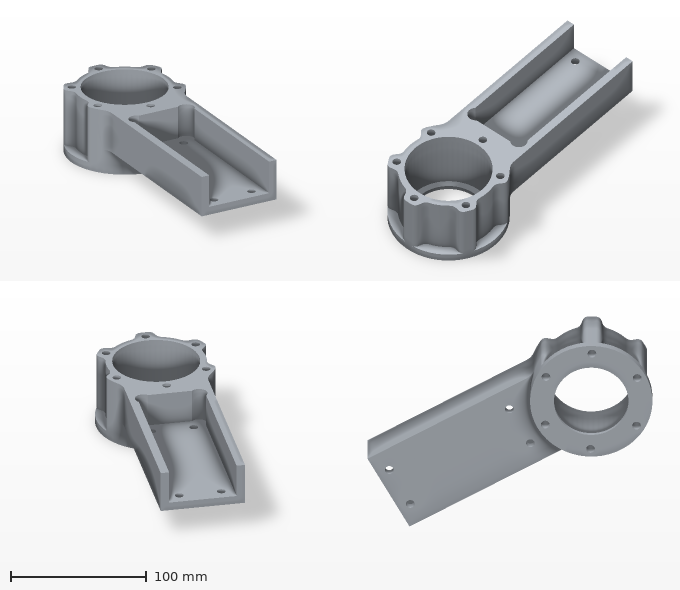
import math

import cadquery as cq

hub_radius = 45.2
hub_height = 50.8
arm_end_x = 171.45
arm_width = 63.5
arm_height = 31.75
arm_bottom_z = hub_height - arm_height
neck_fillet = 12.7

bore_radius = 32.5
lip_radius = 27.5
lip_height = 3.175

hole_diameter = 6.35
hub_hole_count = 6
hub_hole_circle_radius = 38.9

flange_height = 6.35
pocket_angles = (90, 150, 210, 270)
pocket_wall = 5.0
pocket_floor_radius = bore_radius + pocket_wall
flank_angle = math.radians(40.0)
flank_offset = 20.9
lug_round = 4.2
pocket_fillet = 5.8
cutter_margin = 5.0

channel_start_x = 50.8
wall_thickness = 6.35
floor_thickness = 6.35
channel_half_width = arm_width / 2 - wall_thickness
channel_floor_z = arm_bottom_z + floor_thickness
corner_relief_radius = 6.35

floor_hole_inset = 9.525
floor_hole_spacing_y = 31.75


def polar(radius, angle):
    """Point at a radius and an angle in radians."""
    return (radius * math.cos(angle), radius * math.sin(angle))


def mirrored(point):
    """Point reflected across the X axis."""
    return (point[0], -point[1])


def cylinder(radius, bottom_z, top_z):
    """Cylinder on the hub axis."""
    return cq.Workplane("XY").workplane(offset=bottom_z).circle(radius).extrude(top_z - bottom_z)


def make_arm():
    """Solid arm with concave necks that run tangent into the hub."""
    half_width = arm_width / 2
    neck_center_y = half_width + neck_fillet
    neck_center_distance = hub_radius + neck_fillet
    neck_angle = math.asin(neck_center_y / neck_center_distance)
    neck_center_x = neck_center_distance * math.cos(neck_angle)

    hub_tangent = polar(hub_radius, neck_angle)
    arm_tangent = (neck_center_x, half_width)
    toward_hub = neck_angle + math.pi
    toward_arm_side = 3 * math.pi / 2
    middle_angle = (toward_hub + toward_arm_side) / 2
    middle_offset = polar(neck_fillet, middle_angle)
    neck_middle = (neck_center_x + middle_offset[0], neck_center_y + middle_offset[1])

    return (
        cq.Workplane("XY")
        .workplane(offset=arm_bottom_z)
        .moveTo(0, 0)
        .lineTo(*hub_tangent)
        .threePointArc(neck_middle, arm_tangent)
        .lineTo(arm_end_x, half_width)
        .lineTo(arm_end_x, -half_width)
        .lineTo(*mirrored(arm_tangent))
        .threePointArc(mirrored(neck_middle), mirrored(hub_tangent))
        .close()
        .extrude(arm_height)
    )


def make_pocket():
    """Cutter for one pocket, centered on the +X direction.

    Each side is a rounded lug corner tangent to the hub, a straight flank,
    and a fillet tangent to the pocket floor.
    """
    along = (math.sin(flank_angle), math.cos(flank_angle))
    into_lug = (-math.cos(flank_angle), math.sin(flank_angle))

    def center_at(distance_from_axis, offset):
        reach = math.sqrt(distance_from_axis**2 - offset**2)
        return tuple(a * reach + n * offset for a, n in zip(along, into_lug))

    def arc_points(center, radius, start_angle, end_angle):
        angles = (start_angle, (start_angle + end_angle) / 2, end_angle)
        offsets = [polar(radius, angle) for angle in angles]
        return [(center[0] + x, center[1] + y) for x, y in offsets]

    round_center = center_at(hub_radius - lug_round, lug_round - flank_offset)
    fillet_center = center_at(pocket_floor_radius + pocket_fillet, -flank_offset - pocket_fillet)
    into_lug_angle = math.atan2(into_lug[1], into_lug[0])
    out_of_lug_angle = into_lug_angle - math.pi
    round_angle = math.atan2(round_center[1], round_center[0])
    fillet_angle = math.atan2(fillet_center[1], fillet_center[0])

    mouth, round_middle, flank_outer = arc_points(
        round_center, lug_round, round_angle, out_of_lug_angle
    )
    flank_inner, fillet_middle, floor_end = arc_points(
        fillet_center, pocket_fillet, into_lug_angle, fillet_angle + math.pi
    )
    outside = polar(hub_radius + cutter_margin, round_angle)

    return (
        cq.Workplane("XY")
        .workplane(offset=flange_height)
        .moveTo(*outside)
        .lineTo(*mouth)
        .threePointArc(round_middle, flank_outer)
        .lineTo(*flank_inner)
        .threePointArc(fillet_middle, floor_end)
        .threePointArc((pocket_floor_radius, 0), mirrored(floor_end))
        .threePointArc(mirrored(fillet_middle), mirrored(flank_inner))
        .lineTo(*mirrored(flank_outer))
        .threePointArc(mirrored(round_middle), mirrored(mouth))
        .lineTo(*mirrored(outside))
        .threePointArc((hub_radius + cutter_margin, 0), outside)
        .close()
        .extrude(hub_height - flange_height)
    )


def make_channel():
    """Cutter for the arm channel with its two round corner reliefs."""
    depth = hub_height - channel_floor_z
    length = arm_end_x - channel_start_x
    floor = cq.Workplane("XY").workplane(offset=channel_floor_z)
    channel = floor.center(channel_start_x + length / 2, 0).rect(length, 2 * channel_half_width).extrude(depth)

    inset = corner_relief_radius * math.sqrt(0.5)
    relief_x = channel_start_x + inset
    relief_y = channel_half_width - inset
    reliefs = (
        floor.pushPoints([(relief_x, relief_y), (relief_x, -relief_y)])
        .circle(corner_relief_radius)
        .extrude(depth)
    )
    return channel.union(reliefs)


def make_holes():
    """Cutter for the hub screw holes and the four channel floor holes."""
    hub_points = [
        polar(hub_hole_circle_radius, 2 * math.pi * index / hub_hole_count)
        for index in range(hub_hole_count)
    ]
    floor_points = [
        (x, y)
        for x in (channel_start_x + floor_hole_inset, arm_end_x - floor_hole_inset)
        for y in (-floor_hole_spacing_y / 2, floor_hole_spacing_y / 2)
    ]
    return (
        cq.Workplane("XY")
        .pushPoints(hub_points + floor_points)
        .circle(hole_diameter / 2)
        .extrude(hub_height)
    )


result = cylinder(hub_radius, 0, hub_height).union(make_arm())
for angle in pocket_angles:
    result = result.cut(make_pocket().rotate((0, 0, 0), (0, 0, 1), angle))
result = result.cut(make_channel())
result = result.cut(cylinder(lip_radius, 0, hub_height))
result = result.cut(cylinder(bore_radius, lip_height, hub_height))
result = result.cut(make_holes())